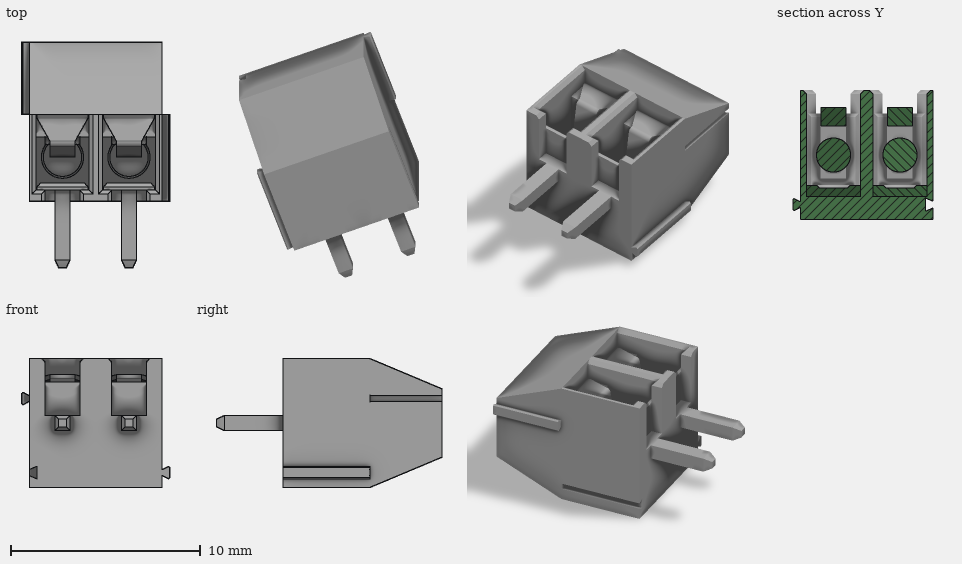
import cadquery as cq
import math


pitch = 3.5
pole_count = 2
pole_xs = [(i - (pole_count - 1) / 2) * pitch for i in range(pole_count)]
body_width = pole_count * pitch
body_height = 6.8
total_length = 11.89
pin_reach = 3.5
body_length = total_length - pin_reach
mid_z = body_height / 2
shoulder_y = 4.58
slope_drop = 1.6

chamber_width = 2.8
chamber_front_y = 0.6
chamber_chamfer = 0.2
slot_width = 1.82
slot_floor_z = 3.8
slot_chamfer = 0.19

rail_reach = 0.4
rail_root = 0.32
rail_head = 0.66
rail_corner = 0.07
upper_rail_z = 4.69
lower_rail_z = 0.79

pin_size = 0.8
pin_z = slot_floor_z - pin_size / 2
pin_tip_size = 0.4
pin_tip_length = 0.42
cage_top_z = 5.57
cage_bottom_z = body_height - cage_top_z
cage_floor_z = 1.8
nut_front_y = 3.4
plate_width = 2.7
plate_thickness = 0.36
plate_chamfer = 0.19
funnel_y = 2.33
funnel_radius = 1.11
funnel_bottom_radius = 1.01
funnel_depth = 0.12

leaf_tilt = math.radians(9)
leaf_thickness = 0.25
leaf_tip_width = 1.33
leaf_bend_y = 3.14
leaf_bend_z = 5.7
leaf_curl_y = 4.4
leaf_curl_radius = 0.4

screw_radius = slot_width / 2
screw_tip_y = 3.01
screw_end_y = 7.0


def block(x_range, y_range, z_range):
    """Box between the given limits."""
    spans = (x_range, y_range, z_range)
    size = [high - low for low, high in spans]
    corner = cq.Vector(*[low for low, high in spans])
    return cq.Workplane(cq.Solid.makeBox(*size, corner))


def extrude_along_y(points, y_start, y_end):
    """Prism with an outline of (x, z) points, between two Y positions."""
    plane = cq.Workplane("XZ", origin=(0, y_start, 0))
    return plane.polyline(points).close().extrude(y_start - y_end)


def extrude_along_x(points, x_mid, width):
    """Prism with an outline of (y, z) points, centred on x_mid."""
    plane = cq.Workplane("YZ", origin=(x_mid, 0, 0))
    return plane.polyline(points).close().extrude(width / 2, both=True)


def dovetail_rail(face_x, side, z, y_start, y_end):
    """Rail standing out of a side face; side is -1 or +1 for the way it points."""
    outer_x = face_x + side * rail_reach
    corner_x = outer_x - side * rail_corner
    root = rail_root / 2
    head = rail_head / 2
    face = head - rail_corner
    outline = [
        (face_x, z - root), (corner_x, z - head), (outer_x, z - face),
        (outer_x, z + face), (corner_x, z + head), (face_x, z + root),
    ]
    return extrude_along_y(outline, y_start, y_end)


def dovetail_groove(face_x, side, z, y_start, y_end):
    """Cutter for the groove that takes the rail of a neighbouring block."""
    floor_x = face_x + side * rail_reach
    root = rail_root / 2
    head = rail_head / 2
    outline = [(face_x, z - root), (floor_x, z - head), (floor_x, z + head), (face_x, z + root)]
    return extrude_along_y(outline, y_start, y_end)


def chamber_cutter(x):
    """Wire chamber with chamfered side and front rims."""
    half = chamber_width / 2
    rim_half = half + chamber_chamfer
    rim_front_y = chamber_front_y - chamber_chamfer
    rim_z = body_height - chamber_chamfer
    pocket = block((x - half, x + half), (chamber_front_y, shoulder_y), (cage_bottom_z, body_height))
    side_slopes = extrude_along_y(
        [(x - half, rim_z), (x + half, rim_z), (x + rim_half, body_height), (x - rim_half, body_height)],
        rim_front_y, shoulder_y)
    front_slope = extrude_along_x(
        [
            (chamber_front_y, rim_z), (shoulder_y, rim_z),
            (shoulder_y, body_height), (rim_front_y, body_height),
        ],
        x, 2 * rim_half)
    return pocket.union(side_slopes.intersect(front_slope))


def slot_cutter(x):
    """Slot through the front wall, flared at its top."""
    half = slot_width / 2
    flare_half = half + slot_chamfer
    flare_z = body_height - slot_chamfer
    outline = [
        (x - half, slot_floor_z), (x + half, slot_floor_z), (x + half, flare_z),
        (x + flare_half, body_height), (x - flare_half, body_height), (x - half, flare_z),
    ]
    return extrude_along_y(outline, 0, chamber_front_y)


def pin_bar(x, y_start, y_end):
    """Square bar of the solder pin between two Y positions."""
    half = pin_size / 2
    return block((x - half, x + half), (y_start, y_end), (pin_z - half, pin_z + half))


def screw_rod(x):
    """Plain screw cylinder along Y."""
    plane = cq.Workplane("XZ", origin=(x, screw_tip_y, mid_z))
    return plane.circle(screw_radius).extrude(screw_tip_y - screw_end_y)


def make_housing():
    outline = [
        (0, 0), (shoulder_y, 0), (body_length, slope_drop),
        (body_length, body_height - slope_drop), (shoulder_y, body_height), (0, body_height),
    ]
    body = extrude_along_x(outline, 0, body_width)
    left_x = -body_width / 2
    right_x = body_width / 2
    body = body.union(dovetail_rail(left_x, -1, upper_rail_z, shoulder_y, body_length))
    body = body.union(dovetail_rail(right_x, 1, lower_rail_z, 0, shoulder_y))
    body = body.cut(dovetail_groove(left_x, 1, lower_rail_z, 0, shoulder_y))
    body = body.cut(dovetail_groove(right_x, -1, upper_rail_z, shoulder_y, body_length))
    for x in pole_xs:
        body = body.cut(chamber_cutter(x))
        body = body.cut(slot_cutter(x))
        body = body.cut(pin_bar(x, 0, chamber_front_y))
        body = body.cut(screw_rod(x))
    return body


def make_pin(x):
    """Solder pin with a tapered tip."""
    tip_base_y = pin_tip_length - pin_reach
    tip = (
        cq.Workplane("XZ", origin=(x, tip_base_y, pin_z))
        .rect(pin_size, pin_size)
        .workplane(offset=pin_tip_length)
        .rect(pin_tip_size, pin_tip_size)
        .loft(combine=True)
    )
    return pin_bar(x, tip_base_y, chamber_front_y).union(tip)


def make_cage(x):
    """Base with a round funnel, nut block at the back and chamfered plate at the front."""
    half = chamber_width / 2
    base = block((x - half, x + half), (chamber_front_y, shoulder_y), (cage_bottom_z, cage_floor_z))
    funnel = cq.Workplane(cq.Solid.makeCone(
        funnel_bottom_radius, funnel_radius, funnel_depth,
        pnt=cq.Vector(x, funnel_y, cage_floor_z - funnel_depth)))
    nut = block((x - half, x + half), (nut_front_y, shoulder_y), (cage_floor_z, cage_top_z))
    plate_half = plate_width / 2
    plate = block(
        (x - plate_half, x + plate_half),
        (chamber_front_y, chamber_front_y + plate_thickness),
        (cage_floor_z, cage_top_z))
    plate = plate.edges(">Y and (|Z or >Z)").chamfer(plate_chamfer)
    return base.union(nut).union(plate).cut(funnel)


def make_leaf(x):
    """Bent strip: a tilted top that narrows to the bend and a leg hanging in front of the screw."""
    sine = math.sin(leaf_tilt)
    cosine = math.cos(leaf_tilt)
    bend_start = (leaf_bend_y + leaf_thickness * sine, leaf_bend_z + leaf_thickness * cosine)
    bend_end = (leaf_bend_y - leaf_thickness * cosine, leaf_bend_z + leaf_thickness * sine)
    middle_angle = math.radians(135) - leaf_tilt
    bend_middle = (
        leaf_bend_y + leaf_thickness * math.cos(middle_angle),
        leaf_bend_z + leaf_thickness * math.sin(middle_angle),
    )
    curl_z = bend_start[1] - (leaf_curl_y - bend_start[0]) * math.tan(leaf_tilt)
    curl_centre = (leaf_curl_y - leaf_curl_radius * sine, curl_z - leaf_curl_radius * cosine)
    curl_end_z = curl_centre[1] + math.sqrt(leaf_curl_radius**2 - (shoulder_y - curl_centre[0])**2)
    back_under_z = leaf_bend_z - (shoulder_y - leaf_bend_y) * math.tan(leaf_tilt)
    leg_length = (bend_end[0] - funnel_y) / sine
    leg_drop = leg_length * cosine
    strip = (
        cq.Workplane("YZ", origin=(x, 0, 0))
        .moveTo(shoulder_y, back_under_z)
        .lineTo(shoulder_y, curl_end_z)
        .radiusArc((leaf_curl_y, curl_z), -leaf_curl_radius)
        .lineTo(*bend_start)
        .threePointArc(bend_middle, bend_end)
        .lineTo(funnel_y, bend_end[1] - leg_drop)
        .lineTo(leaf_bend_y - leg_length * sine, leaf_bend_z - leg_drop)
        .lineTo(leaf_bend_y, leaf_bend_z)
        .close()
        .extrude(plate_width / 2, both=True)
    )
    wide = plate_width / 2
    narrow = leaf_tip_width / 2
    plan = (
        cq.Workplane("XY", origin=(x, 0, 0))
        .polyline([
            (-wide, shoulder_y), (-wide, leaf_curl_y), (-narrow, bend_start[0]), (-narrow, 0),
            (narrow, 0), (narrow, bend_start[0]), (wide, leaf_curl_y), (wide, shoulder_y),
        ])
        .close()
        .extrude(body_height)
    )
    return strip.intersect(plan)


def make_terminal(x):
    terminal = make_cage(x).union(make_pin(x)).union(make_leaf(x))
    return terminal.cut(screw_rod(x))


housing = make_housing()
terminals = [make_terminal(x) for x in pole_xs]
screws = [screw_rod(x) for x in pole_xs]

result = cq.Compound.makeCompound([
    housing.solids().val(),
    *[terminal.solids().val() for terminal in terminals],
    *[screw.solids().val() for screw in screws],
])